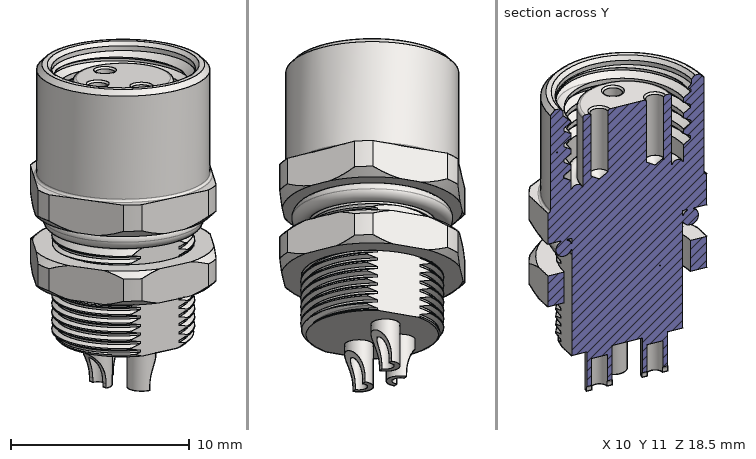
import cadquery as cq
import math


body_bottom_z = 2.5
nut_bottom_z = 6.0
nut_bore_radius = 3.97
hex_height = 2.0
flange_bottom_z = 10.0
flange_top_z = flange_bottom_z + hex_height
rim_z = 18.5

across_flats = 10.0
hex_corner_radius = 5.5
hex_turn = 30
nut_chamfer_width = 0.38
nut_chamfer_height = 0.35
flange_chamfer = 0.46

shank_radius = 4.0
shank_flat_distance = 3.5
shank_end_chamfer = 0.3
neck_radius = 3.5
neck_start_z = 9.0
neck_taper_radius = 3.72
neck_taper_height = 0.17
shank_pitch = 0.5
shank_root_radius = 3.74
shank_groove_mouth = 0.42
shank_groove_floor = 0.12
shank_groove_start_z = 1.85
shank_groove_turns = 13.5

flange_seal_section = 0.52
flange_seal_outer_radius = 4.5

shell_radius = 4.85
shell_top_chamfer = 0.3
shell_base_fillet = 0.14
rim_inner_radius = 4.25
relief_radius = 4.03
relief_bottom_z = rim_z - 0.5
bore_radius = 3.53
bore_floor_z = 13.0

socket_pitch = 1.0
socket_root_radius = 3.98
socket_groove_mouth = 0.7
socket_groove_floor = 0.15
socket_groove_start_z = 14.075
socket_groove_turns = 4.5

insert_radius = 2.81
insert_top_z = 17.7
insert_edge_fillet = 0.17
face_seal_squeeze = 0.02

contact_offset = 1.75
contact_hole_radius = 0.53
contact_hole_chamfer = 0.11
contact_hole_depth = 4.0
drill_half_angle = math.radians(59)

cup_radius = 0.81
cup_bore_radius = 0.48
cup_bore_depth = 2.0
scoop_radius = 2.26
scoop_start_z = 0.25

groove_clearance = 0.05
overlap = 0.5


def revolve_profile(profile):
    """Revolve a closed XZ profile about the Z axis."""
    return profile.close().revolve(360, (0, 0, 0), (0, 1, 0))


def ring(center_radius, section_radius, z):
    section = cq.Workplane("XZ").center(center_radius, z).circle(section_radius)
    return section.revolve(360, (-center_radius, 0, 0), (-center_radius, 1, 0))


def trapezoid_groove(
    root_radius, floor_width, crest_radius, mouth_width, clear_radius, pitch, turns, start_z
):
    """Right-handed helical thread groove cutter, its flanks running past the crest to clear_radius."""
    widening = (mouth_width - floor_width) / (crest_radius - root_radius)
    half_floor = floor_width / 2
    half_clear = half_floor + widening * (clear_radius - root_radius) / 2
    profile = (
        cq.Workplane("XZ")
        .moveTo(root_radius, -half_floor)
        .lineTo(clear_radius, -half_clear)
        .lineTo(clear_radius, half_clear)
        .lineTo(root_radius, half_floor)
        .close()
    )
    helix = cq.Wire.makeHelix(pitch, pitch * turns, crest_radius)
    return profile.sweep(cq.Workplane(helix), isFrenet=True).translate((0, 0, start_z))


def hexagon(bottom_z, chamfer_width, chamfer_height, chamfer_top):
    """Hexagonal prism with flats facing +X and -X and turned, chamfered corners."""
    across_corners = across_flats / math.cos(math.radians(hex_turn))
    prism = (
        cq.Workplane("XY", origin=(0, 0, bottom_z))
        .polygon(6, across_corners)
        .extrude(hex_height)
        .rotate((0, 0, 0), (0, 0, 1), hex_turn)
    )
    top_z = bottom_z + hex_height
    turned = (
        cq.Workplane("XZ")
        .moveTo(0, bottom_z)
        .lineTo(hex_corner_radius - chamfer_width, bottom_z)
        .lineTo(hex_corner_radius, bottom_z + chamfer_height)
    )
    if chamfer_top:
        turned = turned.lineTo(hex_corner_radius, top_z - chamfer_height)
        turned = turned.lineTo(hex_corner_radius - chamfer_width, top_z)
    else:
        turned = turned.lineTo(hex_corner_radius, top_z)
    return prism.intersect(revolve_profile(turned.lineTo(0, top_z)))


def threaded_shank():
    blank = revolve_profile(
        cq.Workplane("XZ")
        .moveTo(0, body_bottom_z)
        .lineTo(shank_radius - shank_end_chamfer, body_bottom_z)
        .lineTo(shank_radius, body_bottom_z + shank_end_chamfer)
        .lineTo(shank_radius, neck_start_z - (shank_radius - neck_radius))
        .lineTo(neck_taper_radius, neck_start_z - neck_taper_height)
        .lineTo(neck_radius, neck_start_z)
        .lineTo(neck_radius, flange_bottom_z + overlap)
        .lineTo(0, flange_bottom_z + overlap)
    )
    groove = trapezoid_groove(
        shank_root_radius,
        shank_groove_floor,
        shank_radius,
        shank_groove_mouth,
        shank_radius + groove_clearance,
        shank_pitch,
        shank_groove_turns,
        shank_groove_start_z,
    )
    between_flats = cq.Workplane("XY").box(
        2 * shank_flat_distance, 2 * across_flats, rim_z, centered=(True, True, False)
    )
    return blank.cut(groove).intersect(between_flats)


def shell_outline():
    fillet_end_radius = shell_radius + shell_base_fillet
    fillet_top_z = flange_top_z + shell_base_fillet
    fillet_mid = shell_base_fillet * (1 - math.sqrt(0.5))
    return revolve_profile(
        cq.Workplane("XZ")
        .moveTo(0, flange_top_z - overlap)
        .lineTo(fillet_end_radius - overlap, flange_top_z - overlap)
        .lineTo(fillet_end_radius - overlap, flange_top_z)
        .lineTo(fillet_end_radius, flange_top_z)
        .threePointArc(
            (shell_radius + fillet_mid, flange_top_z + fillet_mid),
            (shell_radius, fillet_top_z),
        )
        .lineTo(shell_radius, rim_z - shell_top_chamfer)
        .lineTo(shell_radius - shell_top_chamfer, rim_z)
        .lineTo(0, rim_z)
    )


def internal_thread_groove():
    return trapezoid_groove(
        socket_root_radius,
        socket_groove_floor,
        bore_radius,
        socket_groove_mouth,
        bore_radius - groove_clearance,
        socket_pitch,
        socket_groove_turns,
        socket_groove_start_z,
    )


def rim_opening(top_z):
    """Stepped and tapered lead-in at the rim, widening the bore."""
    taper_bottom_z = relief_bottom_z - (relief_radius - bore_radius)
    return revolve_profile(
        cq.Workplane("XZ")
        .moveTo(0, taper_bottom_z)
        .lineTo(bore_radius, taper_bottom_z)
        .lineTo(relief_radius, relief_bottom_z)
        .lineTo(relief_radius, rim_z - (rim_inner_radius - relief_radius))
        .lineTo(rim_inner_radius, rim_z)
        .lineTo(rim_inner_radius, top_z)
        .lineTo(0, top_z)
    )


def socket_shell():
    """Shell with its threaded bore, cut in a taller blank because the groove runs out past the rim."""
    blank_top_z = rim_z + 2 * socket_pitch
    blank_bottom_z = flange_top_z - 2 * overlap
    blank = (
        cq.Workplane("XY", origin=(0, 0, blank_bottom_z))
        .circle(across_flats)
        .extrude(blank_top_z - blank_bottom_z)
    )
    bore = (
        cq.Workplane("XY", origin=(0, 0, bore_floor_z))
        .circle(bore_radius)
        .extrude(blank_top_z - bore_floor_z)
    )
    bored = blank.cut(internal_thread_groove()).cut(bore).cut(rim_opening(blank_top_z))
    return bored.intersect(shell_outline())


def contact_insert():
    base_z = bore_floor_z - overlap
    insert = (
        cq.Workplane("XY", origin=(0, 0, base_z))
        .circle(insert_radius)
        .extrude(insert_top_z - base_z)
        .faces(">Z")
        .edges()
        .fillet(insert_edge_fillet)
    )
    gap = bore_radius - insert_radius
    seal = ring(insert_radius + gap / 2, gap / 2 + face_seal_squeeze, bore_floor_z)
    return insert.union(seal)


def contact_hole(x, y):
    """Chamfered contact hole with a conical bottom, cut from the insert face."""
    floor_z = insert_top_z - contact_hole_depth
    tip_z = floor_z - contact_hole_radius / math.tan(drill_half_angle)
    hole = revolve_profile(
        cq.Workplane("XZ")
        .moveTo(0, tip_z)
        .lineTo(contact_hole_radius, floor_z)
        .lineTo(contact_hole_radius, insert_top_z - contact_hole_chamfer)
        .lineTo(contact_hole_radius + contact_hole_chamfer, insert_top_z)
        .lineTo(0, insert_top_z)
    )
    return hole.translate((x, y, 0))


def solder_cup(x, y, open_side):
    """Bored contact tail, scooped open toward +Y (open_side = 1) or -Y (open_side = -1)."""
    tail = cq.Workplane("XY").circle(cup_radius).extrude(body_bottom_z + overlap)
    bore = cq.Workplane("XY").circle(cup_bore_radius).extrude(cup_bore_depth)
    arc_mid = scoop_radius * math.sqrt(0.5)
    scoop = (
        cq.Workplane("YZ", origin=(-2 * cup_radius, 0, 0))
        .moveTo(0, 0)
        .lineTo(0, scoop_start_z)
        .threePointArc(
            (scoop_radius - arc_mid, scoop_start_z + arc_mid),
            (scoop_radius, scoop_start_z + scoop_radius),
        )
        .lineTo(scoop_radius, 0)
        .close()
        .extrude(4 * cup_radius)
    )
    if open_side < 0:
        scoop = scoop.mirror("XZ")
    return tail.cut(bore).cut(scoop).translate((x, y, 0))


contacts = [
    (-contact_offset, 0, 1),
    (contact_offset, 0, 1),
    (0, -contact_offset, -1),
]

lock_nut = hexagon(nut_bottom_z, nut_chamfer_width, nut_chamfer_height, chamfer_top=True)
lock_nut = lock_nut.faces(">Z").workplane().circle(nut_bore_radius).cutThruAll()
flange = hexagon(flange_bottom_z, flange_chamfer, flange_chamfer, chamfer_top=False)
flange_seal = ring(
    flange_seal_outer_radius - flange_seal_section,
    flange_seal_section,
    (neck_start_z + flange_bottom_z) / 2,
)

upper_body = socket_shell().union(contact_insert()).union(flange)
solder_cups = cq.Workplane("XY")
for contact_x, contact_y, cup_side in contacts:
    upper_body = upper_body.cut(contact_hole(contact_x, contact_y))
    solder_cups = solder_cups.add(solder_cup(contact_x, contact_y, cup_side))
lower_body = threaded_shank().union(lock_nut).union(flange_seal).union(solder_cups)

result = upper_body.union(lower_body)